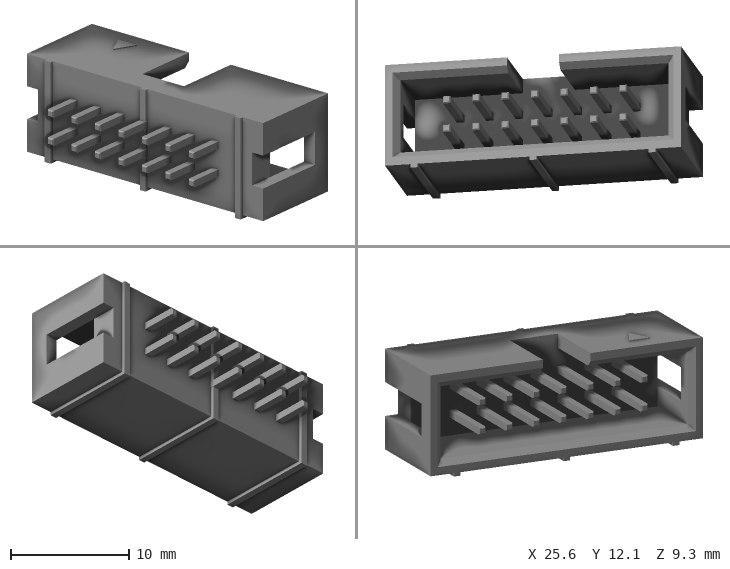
import cadquery as cq


BODY_LENGTH = 25.58
BODY_DEPTH = 8.8
BODY_HEIGHT = 8.9
END_WALL = 1.2
SIDE_WALL = 1.25
FLOOR_THICKNESS = 2.45
MOUTH_CHAMFER = 0.54
MOUTH_CHAMFER_ANGLE = 45

KEY_SLOT_WIDTH = 4.5

WINDOW_HEIGHT = 3.0
WINDOW_END = 7.0

RIB_PROJECTION = 0.3
END_RIB_WIDTH = 0.65
CENTRE_RIB_WIDTH = 0.6
RIB_SPACING = 10.28

PIN_COLUMNS = 7
PIN_ROWS = 2
PIN_SPAN = 15.25
PIN_WIDTH = 0.65
PIN_TAIL = 3.3
PIN_INNER_END = 8.19
PIN_TIP_CHAMFER = 0.1

MARK_WIDTH = 2.0
MARK_LENGTH = 2.0
MARK_BASE_Y = 7.2
MARK_THICKNESS = 0.1

BODY_TOP = BODY_HEIGHT / 2
PIN_PITCH = PIN_SPAN / (PIN_COLUMNS - 1)
CAVITY_LENGTH = BODY_LENGTH - 2 * END_WALL
CAVITY_HEIGHT = BODY_HEIGHT - 2 * SIDE_WALL
FIRST_PIN_X = -PIN_SPAN / 2
FIRST_ROW_Z = -(PIN_ROWS - 1) / 2 * PIN_PITCH


def block(length, height, y_start, y_end, x=0, z=0):
    """Box centred at (x, z) that runs from y_start to y_end."""
    middle = (x, (y_start + y_end) / 2, z)
    return cq.Workplane("XY").box(length, y_end - y_start, height).translate(middle)


def make_cavity():
    """Cutter for the hollow open to +Y, flared at its mouth."""
    cavity = block(CAVITY_LENGTH, CAVITY_HEIGHT, FLOOR_THICKNESS, BODY_DEPTH)
    mouth_length = CAVITY_LENGTH + 2 * MOUTH_CHAMFER
    mouth_height = CAVITY_HEIGHT + 2 * MOUTH_CHAMFER
    mouth = cq.Workplane("XZ", origin=(0, BODY_DEPTH, 0)).rect(mouth_length, mouth_height)
    flare = mouth.extrude(MOUTH_CHAMFER, taper=MOUTH_CHAMFER_ANGLE)
    return cavity.union(flare)


def make_key_slot():
    """Cutter that opens the top wall from the cavity floor to the mouth."""
    return block(KEY_SLOT_WIDTH, BODY_TOP, FLOOR_THICKNESS, BODY_DEPTH, z=BODY_TOP / 2)


def make_end_window(side):
    """Cutter through one end wall (side is -1 or 1) that also notches the front face."""
    wall_x = side * (BODY_LENGTH - END_WALL) / 2
    return block(END_WALL, WINDOW_HEIGHT, 0, WINDOW_END, x=wall_x)


def make_rib(x, width):
    """Bar through the whole body that stands proud of the front face and the underside."""
    height = BODY_HEIGHT + RIB_PROJECTION
    return block(width, height, -RIB_PROJECTION, BODY_DEPTH, x=x, z=-RIB_PROJECTION / 2)


def make_pin(x, z):
    """Square pin that passes through the floor, with both tips chamfered."""
    pin = block(PIN_WIDTH, PIN_WIDTH, -PIN_TAIL, PIN_INNER_END, x=x, z=z)
    return pin.faces("<Y or >Y").chamfer(PIN_TIP_CHAMFER)


def make_first_pin_mark():
    """Raised triangle above the first pin column, pointing toward the front face."""
    base_left = (FIRST_PIN_X - MARK_WIDTH / 2, MARK_BASE_Y)
    base_right = (FIRST_PIN_X + MARK_WIDTH / 2, MARK_BASE_Y)
    tip = (FIRST_PIN_X, MARK_BASE_Y - MARK_LENGTH)
    outline = cq.Workplane("XY", origin=(0, 0, BODY_TOP)).polyline([base_left, base_right, tip])
    return outline.close().extrude(MARK_THICKNESS)


body = block(BODY_LENGTH, BODY_HEIGHT, 0, BODY_DEPTH)
body = body.union(make_rib(0, CENTRE_RIB_WIDTH))
for rib_x in (-RIB_SPACING, RIB_SPACING):
    body = body.union(make_rib(rib_x, END_RIB_WIDTH))

body = body.cut(make_cavity()).cut(make_key_slot())
for end in (-1, 1):
    body = body.cut(make_end_window(end))

for column in range(PIN_COLUMNS):
    for row in range(PIN_ROWS):
        pin_x = FIRST_PIN_X + column * PIN_PITCH
        pin_z = FIRST_ROW_Z + row * PIN_PITCH
        body = body.union(make_pin(pin_x, pin_z))

result = body.union(make_first_pin_mark())